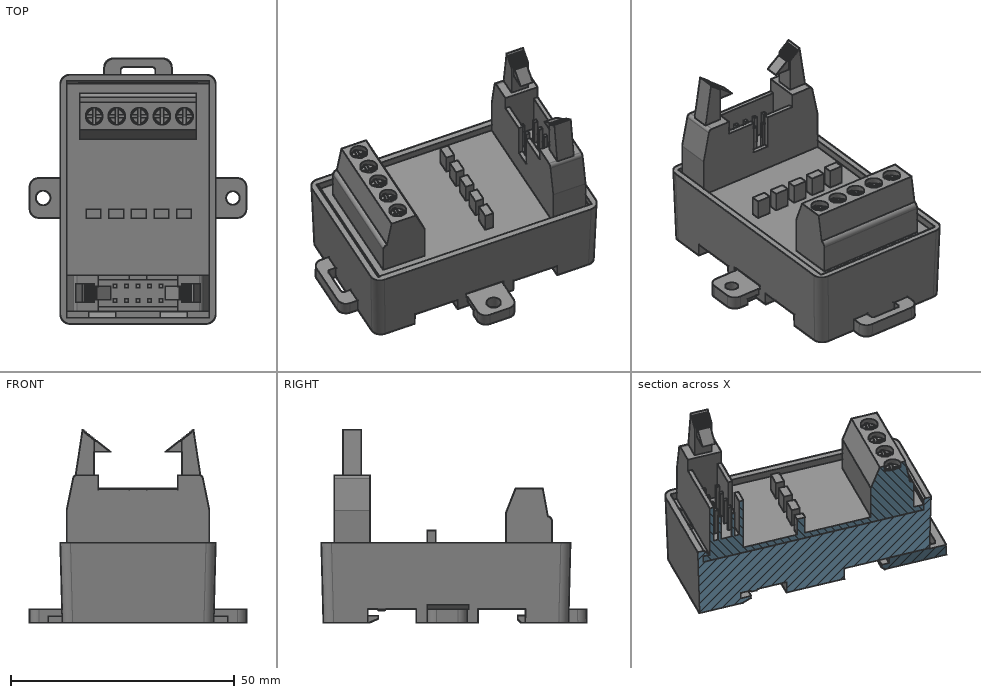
import cadquery as cq
import math

DRAFT = 1.5
HOUSING_LENGTH = 55.9
HOUSING_WIDTH = 34.9
HOUSING_HEIGHT = 18.0
CORNER_RADIUS = 2.25
WALL = 1.4
RIM_DEPTH = 1.7
COVER_THICKNESS = 1.5
LIP_WIDTH = 0.6
LIP_GROOVE_LENGTH = 26.55
LIP_GROOVE_DEPTH = 0.2
RAMP_LENGTH = 6.0
RAMP_SPACING = 15.95
RAMP_DEPTH = 1.35

POCKET_LENGTH = HOUSING_LENGTH - 2 * WALL
POCKET_WIDTH = HOUSING_WIDTH - 2 * WALL
COVER_TOP = HOUSING_HEIGHT - RIM_DEPTH
POCKET_FLOOR = COVER_TOP - COVER_THICKNESS

FOOT_HEIGHT = 3.05
REAR_FOOT_Y = 17.8
FRONT_FOOT_Y = -17.5
MIDDLE_FOOT_REAR_Y = 7.2
MIDDLE_FOOT_FRONT_Y = -6.65
HOOK_REACH = 2.4
HOOK_TOP = 1.6
HOOK_TIP_BOTTOM = 0.9
HOOK_CHAMFER_LENGTH = 2.0
BUMP_Y = -14.4
BUMP_WIDTH = 1.9
BUMP_HEIGHT = 0.35

EAR_SPAN = 48.6
EAR_WIDTH = 9.0
EAR_Y = 0.3
EAR_RADIUS = 2.1
EAR_HOLE_X = 21.25
LEFT_HOLE_DIAMETER = 3.2
RIGHT_HOLE_DIAMETER = 3.0
EAR_RELIEF_END_X = 20.1
EAR_RELIEF_DEPTH = 0.95
EAR_RELIEF_HEIGHT = 1.5
EAR_NOTCH_GAP = 0.3
EAR_NOTCH_HEIGHT = 0.95

CLIP_WIDTH = 15.25
CLIP_END_Y = 59.5 - HOUSING_LENGTH / 2
CLIP_RADIUS = 2.1
CLIP_SLOT_WIDTH = 7.7
CLIP_SLOT_END_Y = 29.6
CLIP_SLOT_LENGTH = 2.4
CLIP_SLOT_RADIUS = 0.6
CLIP_NOSE_WIDTH = 13.1
NOSE_REACH = 1.7
NOSE_HEIGHT = 1.65
NOSE_CHAMFER = 0.7

PITCH = 5.05
CHANNELS = 5
TERMINAL_WIDTH = 26.1
TERMINAL_REAR_Y = 23.8
TERMINAL_SHOULDER_Y = 22.85
TERMINAL_TOP_REAR_Y = 21.7
TERMINAL_TOP_FRONT_Y = 15.6
TERMINAL_FRONT_Y = 13.45
TERMINAL_TOP = 30.1
TERMINAL_FRONT_EDGE = 24.7
TERMINAL_SHOULDER_LOW = 22.75
TERMINAL_SHOULDER_HIGH = 23.85
SHOULDER_BULGE = 0.2
SCREW_X = 0.3
SCREW_Y = 18.6
SCREW_DIAMETER = 3.8
SCREW_RECESS = 1.15
SCREW_BEVEL = 0.3
SCREW_SLOT_WIDTH = 0.7
SCREW_SLOT_END_DEPTH = 0.2
SCREW_SLOT_FALL = 0.3
SCREW_SLOT_STEP = 0.1
LAMP_X = 0.2
LAMP_Y = -3.2
LAMP_WIDTH = 3.3
LAMP_DEPTH = 1.95
LAMP_TOP = 20.7

SOCKET_Y = -21.0
SOCKET_DEPTH = 8.05
SOCKET_WIDTH = POCKET_WIDTH
SOCKET_KINK = 25.25
SOCKET_TOP = 33.1
SOCKET_TOP_WIDTH = 28.8
SOCKET_FILLET = 0.9
SOCKET_WALL = 1.0
CAVITY_WIDTH = 17.8
CAVITY_FLOOR = 20.25
CAVITY_WALL_TOP = 29.9
KEY_WIDTH = 3.9
KEY_FLOOR = 22.0
PIN_SIZE = 0.8
PIN_PITCH = 2.55
PIN_ROW_SPACING = 3.2
PIN_TOP = 26.8

LATCH_DEPTH = 4.1
LATCH_HOOK_DEPTH = 3.05
LATCH_BASE_OUT_X = 14.0
LATCH_TIP_X = 12.45
LATCH_IN_X = 9.8
LATCH_HOOK_X = 6.1
LATCH_TOP = 43.25
LATCH_HOOK_BOTTOM = 38.25
GRIP_GROOVES = 8
GRIP_FIRST_X = 11.95
GRIP_PITCH = 0.34
GRIP_DEPTH = 0.25


def block(x0, x1, y0, y1, z0, z1):
    """Box between two opposite corners."""
    box = cq.Workplane("XY").box(x1 - x0, y1 - y0, z1 - z0, centered=False)
    return box.translate((x0, y0, z0))


def centred_block(x, y, width, depth, z0, z1):
    """Box centred on (x, y) between two heights."""
    return block(x - width / 2, x + width / 2, y - depth / 2, y + depth / 2, z0, z1)


def side_profile(points, width, x=0):
    """Closed (y, z) outline extruded along X, centred on x."""
    outline = cq.Workplane("YZ").polyline(points).close()
    return outline.extrude(width / 2, both=True).translate((x, 0, 0))


def make_clip():
    """Sliding rail clip: drafted plate with a slotted pull tab and a nose that grips the rail."""
    length = CLIP_END_Y - REAR_FOOT_Y
    plate = cq.Workplane("XY").rect(CLIP_WIDTH, length).extrude(FOOT_HEIGHT, taper=DRAFT)
    plate = plate.faces(">Y").edges("not |X").fillet(CLIP_RADIUS)
    plate = plate.translate((0, REAR_FOOT_Y + length / 2, 0))

    slot = cq.Workplane("XY").rect(CLIP_SLOT_WIDTH, CLIP_SLOT_LENGTH).extrude(FOOT_HEIGHT)
    slot = slot.edges("|Z").fillet(CLIP_SLOT_RADIUS)
    slot = slot.translate((0, CLIP_SLOT_END_Y - CLIP_SLOT_LENGTH / 2, 0))

    tip_y = REAR_FOOT_Y - NOSE_REACH
    root_y = REAR_FOOT_Y + 0.6
    nose = side_profile(
        [
            (root_y, 0),
            (tip_y + NOSE_CHAMFER, 0),
            (tip_y, NOSE_CHAMFER),
            (tip_y, NOSE_HEIGHT),
            (root_y, NOSE_HEIGHT),
        ],
        CLIP_NOSE_WIDTH,
    )
    return plate.cut(slot).union(nose)


def make_shell():
    """Drafted block with rounded upright corners."""
    shell = cq.Workplane("XY").workplane(offset=HOUSING_HEIGHT).rect(HOUSING_WIDTH, HOUSING_LENGTH)
    shell = shell.extrude(-HOUSING_HEIGHT, taper=DRAFT)
    return shell.edges("(not |X) and (not |Y)").fillet(CORNER_RADIUS)


def make_rail_gaps():
    """The two gaps that leave a rear, a middle and a front foot."""
    reach = HOUSING_WIDTH
    rear = block(-reach, reach, MIDDLE_FOOT_REAR_Y, REAR_FOOT_Y, 0, FOOT_HEIGHT)
    front = block(-reach, reach, FRONT_FOOT_Y, MIDDLE_FOOT_FRONT_Y, 0, FOOT_HEIGHT)
    return rear.union(front)


def make_rail_hook():
    """Fixed hook on the front foot and the low bump on the ceiling beside it."""
    tip_y = FRONT_FOOT_Y + HOOK_REACH
    hook = side_profile(
        [
            (FRONT_FOOT_Y - 0.6, 0),
            (tip_y - HOOK_CHAMFER_LENGTH, 0),
            (tip_y, HOOK_TIP_BOTTOM),
            (tip_y, HOOK_TOP),
            (FRONT_FOOT_Y - 0.6, HOOK_TOP),
        ],
        CLIP_NOSE_WIDTH,
    )
    half = BUMP_WIDTH / 2
    bump = side_profile(
        [
            (BUMP_Y - half, FOOT_HEIGHT + 0.6),
            (BUMP_Y - half, FOOT_HEIGHT),
            (BUMP_Y - half + BUMP_HEIGHT, FOOT_HEIGHT - BUMP_HEIGHT),
            (BUMP_Y + half - BUMP_HEIGHT, FOOT_HEIGHT - BUMP_HEIGHT),
            (BUMP_Y + half, FOOT_HEIGHT),
            (BUMP_Y + half, FOOT_HEIGHT + 0.6),
        ],
        CLIP_NOSE_WIDTH,
    )
    return hook.union(bump)


def make_pocket():
    """Opening for the cover, with the bevelled rear lip and the front snap ramps left standing."""
    half_length = POCKET_LENGTH / 2
    pocket = centred_block(0, 0, POCKET_WIDTH, POCKET_LENGTH, POCKET_FLOOR, HOUSING_HEIGHT)

    lip = side_profile(
        [
            (half_length, HOUSING_HEIGHT),
            (half_length - LIP_WIDTH, HOUSING_HEIGHT - LIP_WIDTH),
            (half_length - LIP_WIDTH, POCKET_FLOOR),
            (half_length, POCKET_FLOOR),
        ],
        POCKET_WIDTH,
    )
    groove_y = half_length - LIP_WIDTH + LIP_GROOVE_DEPTH / 2
    groove_top = HOUSING_HEIGHT - LIP_WIDTH
    groove = centred_block(0, groove_y, LIP_GROOVE_LENGTH, LIP_GROOVE_DEPTH, POCKET_FLOOR, groove_top)
    pocket = pocket.cut(lip.cut(groove))

    for side in (-1, 1):
        ramp = side_profile(
            [
                (-half_length, HOUSING_HEIGHT),
                (-half_length + RAMP_DEPTH, HOUSING_HEIGHT - RAMP_DEPTH),
                (-half_length + RAMP_DEPTH, COVER_TOP),
                (-half_length, COVER_TOP),
            ],
            RAMP_LENGTH,
            side * RAMP_SPACING / 2,
        )
        pocket = pocket.cut(ramp)
    return pocket


def make_ear_notch(side):
    """Notch above one ear; its ceiling slopes down into the wall at 45 degrees."""
    outer_x = HOUSING_WIDTH / 2
    wall_x = outer_x - (HOUSING_HEIGHT - FOOT_HEIGHT) * math.tan(math.radians(DRAFT))
    ceiling = FOOT_HEIGHT + (outer_x - wall_x) + EAR_NOTCH_HEIGHT
    notch = (
        cq.Workplane("XZ")
        .moveTo(side * (wall_x - EAR_NOTCH_HEIGHT), FOOT_HEIGHT)
        .lineTo(side * outer_x, FOOT_HEIGHT)
        .lineTo(side * outer_x, ceiling)
        .close()
        .extrude((EAR_WIDTH + EAR_NOTCH_GAP) / 2, both=True)
    )
    return notch.translate((0, EAR_Y + EAR_NOTCH_GAP / 2, 0))


def make_ear(side, hole_diameter):
    """Screw ear with a hole and, beside the wall, relief cut under both of its long edges."""
    tip_x = EAR_SPAN / 2
    root_x = HOUSING_WIDTH / 2 - WALL
    ear = centred_block(0, 0, 2 * tip_x, EAR_WIDTH, 0, FOOT_HEIGHT).edges("|Z").fillet(EAR_RADIUS)
    ear = ear.intersect(centred_block((root_x + tip_x) / 2, 0, tip_x - root_x, EAR_WIDTH, 0, FOOT_HEIGHT))
    ear = ear.cut(cq.Workplane("XY").center(EAR_HOLE_X, 0).circle(hole_diameter / 2).extrude(FOOT_HEIGHT))
    relief_y = (EAR_WIDTH - EAR_RELIEF_DEPTH) / 2
    for edge in (-1, 1):
        ear = ear.cut(
            centred_block(
                (root_x + EAR_RELIEF_END_X) / 2,
                edge * relief_y,
                EAR_RELIEF_END_X - root_x,
                EAR_RELIEF_DEPTH,
                0,
                EAR_RELIEF_HEIGHT,
            )
        )
    if side < 0:
        ear = ear.mirror("YZ")
    return ear.translate((0, EAR_Y, 0))


def make_housing(clip):
    """Housing with its feet, ears, cover pocket and the matching recess for the clip."""
    housing = make_shell().cut(make_rail_gaps()).cut(make_pocket())
    for side in (-1, 1):
        housing = housing.cut(make_ear_notch(side))
    for side, diameter in ((-1, LEFT_HOLE_DIAMETER), (1, RIGHT_HOLE_DIAMETER)):
        housing = housing.union(make_ear(side, diameter))
    return housing.union(make_rail_hook()).cut(clip)


def channel_x(centre, index):
    """X of one of the evenly pitched channels."""
    return centre + (index - (CHANNELS - 1) / 2) * PITCH


def make_screw_slot(end_depth):
    """Slot along X across a screw head, deeper in the middle than at its ends."""
    radius = SCREW_DIAMETER / 2
    slot = cq.Workplane("XZ").polyline(
        [
            (-radius, -SCREW_RECESS),
            (-radius, -SCREW_RECESS - end_depth),
            (0, -SCREW_RECESS - end_depth - SCREW_SLOT_FALL),
            (radius, -SCREW_RECESS - end_depth),
            (radius, -SCREW_RECESS),
        ]
    )
    return slot.close().extrude(SCREW_SLOT_WIDTH / 2, both=True)


def make_screw_recess():
    """Round recess down to a bevelled screw head with a cross slot, centred on the origin."""
    radius = SCREW_DIAMETER / 2
    depth = SCREW_RECESS + SCREW_BEVEL
    recess = cq.Workplane("XY").circle(radius).extrude(-depth)
    head = (
        cq.Workplane("XZ")
        .moveTo(0, -depth)
        .lineTo(radius, -depth)
        .lineTo(radius - SCREW_BEVEL, -SCREW_RECESS)
        .lineTo(0, -SCREW_RECESS)
        .close()
        .revolve(360, (0, 0), (0, 1))
    )
    slot_x = make_screw_slot(SCREW_SLOT_END_DEPTH)
    slot_y = make_screw_slot(SCREW_SLOT_END_DEPTH + SCREW_SLOT_STEP).rotate((0, 0, 0), (0, 0, 1), 90)
    return recess.cut(head).union(slot_x).union(slot_y)


def make_terminal():
    """Screw terminal block with a rounded rear shoulder and one screw per channel."""
    bulge_y = (TERMINAL_REAR_Y + TERMINAL_SHOULDER_Y) / 2 + SHOULDER_BULGE
    bulge_z = (TERMINAL_SHOULDER_LOW + TERMINAL_SHOULDER_HIGH) / 2 + SHOULDER_BULGE
    terminal = (
        cq.Workplane("YZ")
        .moveTo(TERMINAL_FRONT_Y, POCKET_FLOOR)
        .lineTo(TERMINAL_REAR_Y, POCKET_FLOOR)
        .lineTo(TERMINAL_REAR_Y, TERMINAL_SHOULDER_LOW)
        .threePointArc((bulge_y, bulge_z), (TERMINAL_SHOULDER_Y, TERMINAL_SHOULDER_HIGH))
        .lineTo(TERMINAL_TOP_REAR_Y, TERMINAL_TOP)
        .lineTo(TERMINAL_TOP_FRONT_Y, TERMINAL_TOP)
        .lineTo(TERMINAL_FRONT_Y, TERMINAL_FRONT_EDGE)
        .close()
        .extrude(TERMINAL_WIDTH / 2, both=True)
    )
    recess = make_screw_recess()
    for index in range(CHANNELS):
        terminal = terminal.cut(recess.translate((channel_x(SCREW_X, index), SCREW_Y, TERMINAL_TOP)))
    return terminal


def make_lamp(index):
    """Small indicator block of one channel."""
    return centred_block(channel_x(LAMP_X, index), LAMP_Y, LAMP_WIDTH, LAMP_DEPTH, POCKET_FLOOR, LAMP_TOP)


def make_socket():
    """Pin header shroud: shouldered sides, open cavity, lowered long walls and a key slot."""
    half = SOCKET_WIDTH / 2
    half_top = SOCKET_TOP_WIDTH / 2
    socket = (
        cq.Workplane("XZ")
        .polyline(
            [
                (-half, POCKET_FLOOR),
                (-half, SOCKET_KINK),
                (-half_top, SOCKET_TOP),
                (half_top, SOCKET_TOP),
                (half, SOCKET_KINK),
                (half, POCKET_FLOOR),
            ]
        )
        .close()
        .extrude(SOCKET_DEPTH / 2, both=True)
        .translate((0, SOCKET_Y, 0))
    )
    socket = socket.faces(">Z").edges("|Y").fillet(SOCKET_FILLET)

    cavity_depth = SOCKET_DEPTH - 2 * SOCKET_WALL
    socket = socket.cut(centred_block(0, SOCKET_Y, CAVITY_WIDTH, cavity_depth, CAVITY_FLOOR, SOCKET_TOP))
    socket = socket.cut(centred_block(0, SOCKET_Y, CAVITY_WIDTH, SOCKET_DEPTH, CAVITY_WALL_TOP, SOCKET_TOP))
    rear_wall_y = SOCKET_Y + (SOCKET_DEPTH - SOCKET_WALL) / 2
    socket = socket.cut(centred_block(0, rear_wall_y, KEY_WIDTH, SOCKET_WALL, KEY_FLOOR, SOCKET_TOP))

    for column in range(CHANNELS):
        for row in (-1, 1):
            x = (column - (CHANNELS - 1) / 2) * PIN_PITCH
            y = SOCKET_Y + row * PIN_ROW_SPACING / 2
            socket = socket.union(centred_block(x, y, PIN_SIZE, PIN_SIZE, CAVITY_FLOOR - 0.6, PIN_TOP))
    return socket


def slope_height(x):
    """Height of the sloping top of a latch at a distance x from the middle plane."""
    fall = (LATCH_TOP - LATCH_HOOK_BOTTOM) / (LATCH_TIP_X - LATCH_HOOK_X)
    return LATCH_TOP - fall * (LATCH_TIP_X - x)


def make_latch(side):
    """Latch arm on one end of the socket, with a narrower hook and a ribbed finger grip."""
    arm = cq.Workplane("XZ").polyline(
        [
            (LATCH_BASE_OUT_X, SOCKET_TOP - 0.6),
            (LATCH_BASE_OUT_X, SOCKET_TOP),
            (LATCH_TIP_X, LATCH_TOP),
            (LATCH_IN_X, slope_height(LATCH_IN_X)),
            (LATCH_IN_X, SOCKET_TOP - 0.6),
        ]
    )
    arm = arm.close().extrude(LATCH_DEPTH / 2, both=True)
    hook = cq.Workplane("XZ").polyline(
        [
            (LATCH_IN_X + 0.6, LATCH_HOOK_BOTTOM),
            (LATCH_IN_X + 0.6, slope_height(LATCH_IN_X + 0.6)),
            (LATCH_HOOK_X, LATCH_HOOK_BOTTOM),
        ]
    )
    latch = arm.union(hook.close().extrude(LATCH_HOOK_DEPTH / 2, both=True))

    for index in range(GRIP_GROOVES):
        high_x = GRIP_FIRST_X - index * GRIP_PITCH
        low_x = high_x - GRIP_PITCH
        groove = cq.Workplane("XZ").polyline(
            [
                (high_x, slope_height(high_x)),
                (high_x, slope_height(high_x) - GRIP_DEPTH),
                (low_x, slope_height(low_x)),
            ]
        )
        latch = latch.cut(groove.close().extrude(LATCH_DEPTH, both=True))
    if side < 0:
        latch = latch.mirror("YZ")
    return latch.translate((0, SOCKET_Y, 0))


def make_cover(housing):
    """Circuit cover that fills the pocket and carries the terminal, lamps and socket."""
    cover = centred_block(0, 0, POCKET_WIDTH, POCKET_LENGTH, POCKET_FLOOR, COVER_TOP)
    cover = cover.union(make_terminal())
    for index in range(CHANNELS):
        cover = cover.union(make_lamp(index))
    cover = cover.union(make_socket())
    for side in (-1, 1):
        cover = cover.union(make_latch(side))
    return cover.cut(housing)


clip = make_clip()
housing = make_housing(clip)
cover = make_cover(housing)

result = cq.Compound.makeCompound([housing.val(), cover.val(), clip.val()])